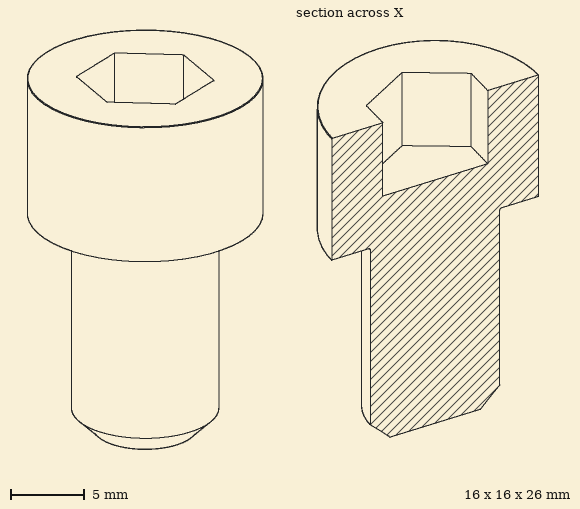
import cadquery as cq

total_length = 26.0
head_diameter = 16.0
head_height = 10.0
head_edge_chamfer = 0.05
shank_diameter = 10.0
tip_chamfer = 1.5
neck_fillet = 0.15
socket_across_corners = 9.33
socket_depth = 6.0

shank_length = total_length - head_height


def make_shank():
    shank = cq.Workplane("XY").circle(shank_diameter / 2).extrude(shank_length)
    return shank.faces("<Z").chamfer(tip_chamfer)


def make_head():
    head = cq.Workplane("XY").workplane(offset=shank_length)
    head = head.circle(head_diameter / 2).extrude(head_height)
    return head.faces(">Z").chamfer(head_edge_chamfer)


def make_socket():
    """Hexagonal prism with two corners in the XZ plane."""
    socket = cq.Workplane("XY").workplane(offset=total_length - socket_depth)
    return socket.polygon(6, socket_across_corners).extrude(socket_depth)


def round_neck(screw):
    """Fillet the inside corner where the shank meets the underside of the head."""
    neck_edge = screw.faces("%PLANE").faces("<Z[1]").edges("%CIRCLE").edges(
        cq.selectors.RadiusNthSelector(0)
    )
    return neck_edge.fillet(neck_fillet)


result = round_neck(make_shank().union(make_head())).cut(make_socket())